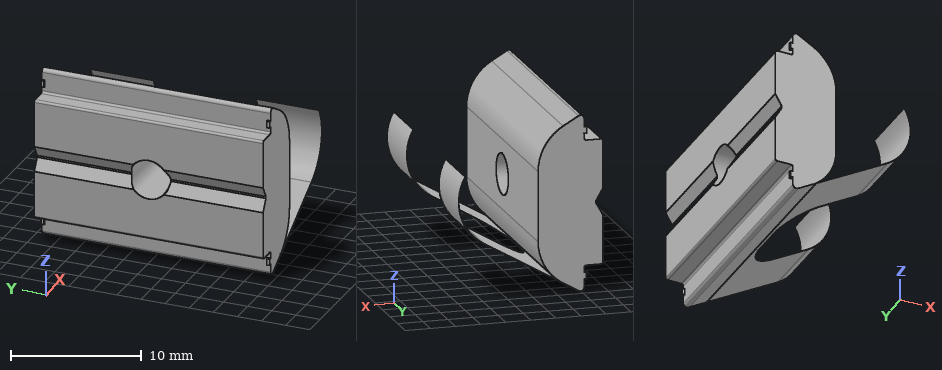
import cadquery as cq
import math

length = 19.0
height = 14.0
body_depth = 5.19
shoulder_depth = 1.5
rib_half_height = 4.98
step_radius = 0.17
tip_radius = 0.3
slope = math.radians(30)
bend_radius = 3.99
hole_diameter = 3.25

groove_half_width = 1.05
groove_floor_half_width = 0.08
groove_depth = (groove_half_width - groove_floor_half_width) * math.tan(slope)

pad_thickness = 0.19
pad_length = 0.27
pad_height = 0.53
pad_center_z = 5.8

spring_reach = 11.53
spring_thickness = 0.02
spring_root_x = 2.28
spring_end_angle = math.radians(30)
leg_gap = 8.47
gap_corner_radius = 3.0
gap_root_x = 4.0


def arc_point(center, radius, angle):
    """Point on a circle in the XZ plane, angle measured from +X toward +Z."""
    return (center[0] + radius * math.cos(angle), center[1] + radius * math.sin(angle))


bend_angle = math.pi / 2 - slope
tip_center = (shoulder_depth + tip_radius, height / 2 - tip_radius)
slope_start = arc_point(tip_center, tip_radius, bend_angle)


def slope_z(x):
    """Z of the upper slanted face at a given X."""
    return slope_start[1] - (x - slope_start[0]) * math.tan(slope)


def make_half_block():
    """Upper half of the block, with its cut face on Z = 0."""
    bend_center_x = body_depth - bend_radius
    slope_end_x = bend_center_x + bend_radius * math.cos(bend_angle)
    bend_center = (bend_center_x, slope_z(slope_end_x) - bend_radius * math.sin(bend_angle))
    tip_middle_angle = (math.pi + bend_angle) / 2
    diagonal = step_radius * math.sqrt(0.5)
    step_outer_center = (step_radius, rib_half_height - step_radius)
    step_inner_center = (shoulder_depth - step_radius, rib_half_height + step_radius)
    profile = (
        cq.Workplane("XZ", origin=(0, length / 2, 0))
        .moveTo(groove_depth, 0)
        .lineTo(groove_depth, groove_floor_half_width)
        .lineTo(0, groove_half_width)
        .lineTo(0, step_outer_center[1])
        .threePointArc(
            (step_outer_center[0] - diagonal, step_outer_center[1] + diagonal),
            (step_radius, rib_half_height),
        )
        .lineTo(step_inner_center[0], rib_half_height)
        .threePointArc(
            (step_inner_center[0] + diagonal, step_inner_center[1] - diagonal),
            (shoulder_depth, step_inner_center[1]),
        )
        .lineTo(shoulder_depth, tip_center[1])
        .threePointArc(arc_point(tip_center, tip_radius, tip_middle_angle), slope_start)
        .lineTo(slope_end_x, slope_z(slope_end_x))
        .threePointArc(
            arc_point(bend_center, bend_radius, bend_angle / 2),
            (body_depth, bend_center[1]),
        )
        .lineTo(body_depth, 0)
        .close()
    )
    return profile.extrude(length)


def make_pad():
    """Pad at the +Y end of the upper ledge, sunk into the block by its own thickness."""
    return (
        cq.Workplane("XY")
        .box(2 * pad_thickness, pad_length, pad_height)
        .translate((shoulder_depth, (length - pad_length) / 2, pad_center_z))
    )


def make_spring():
    """Leaf flush with the lower slanted face, curling upward at its free end."""
    curl_center_x = spring_reach - bend_radius
    straight_end_x = curl_center_x + bend_radius * math.cos(bend_angle)
    straight_end_z = -slope_z(straight_end_x)
    curl_center = (curl_center_x, straight_end_z + bend_radius * math.sin(bend_angle))
    inner_radius = bend_radius - spring_thickness
    middle_angle = (spring_end_angle - bend_angle) / 2
    root = (spring_root_x, -slope_z(spring_root_x))
    inner_root = (
        root[0] - spring_thickness * math.sin(slope),
        root[1] + spring_thickness * math.cos(slope),
    )
    leaf = (
        cq.Workplane("XZ", origin=(0, length / 2, 0))
        .moveTo(*root)
        .lineTo(straight_end_x, straight_end_z)
        .threePointArc(
            arc_point(curl_center, bend_radius, middle_angle),
            arc_point(curl_center, bend_radius, spring_end_angle),
        )
        .lineTo(*arc_point(curl_center, inner_radius, spring_end_angle))
        .threePointArc(
            arc_point(curl_center, inner_radius, middle_angle),
            arc_point(curl_center, inner_radius, -bend_angle),
        )
        .lineTo(*inner_root)
        .close()
        .extrude(length)
    )

    gap_plane = cq.Plane(
        origin=(gap_root_x, 0, -slope_z(gap_root_x)),
        xDir=(math.cos(slope), 0, math.sin(slope)),
        normal=(-math.sin(slope), 0, math.cos(slope)),
    )
    gap = (
        cq.Workplane(gap_plane)
        .rect(2 * spring_reach, leg_gap)
        .extrude(spring_reach, both=True)
        .translate(gap_plane.xDir * spring_reach)
        .edges(cq.selectors.ParallelDirSelector(gap_plane.zDir))
        .fillet(gap_corner_radius)
    )
    return leaf.cut(gap)


half_block = make_half_block()
block = half_block.union(half_block.mirror("XY"))

hole = cq.Workplane("YZ").circle(hole_diameter / 2).extrude(body_depth)
block = block.cut(hole)

end_pad = make_pad()
end_pads = end_pad.union(end_pad.mirror("XZ"))
block = block.union(end_pads).union(end_pads.mirror("XY"))

result = block.union(make_spring())